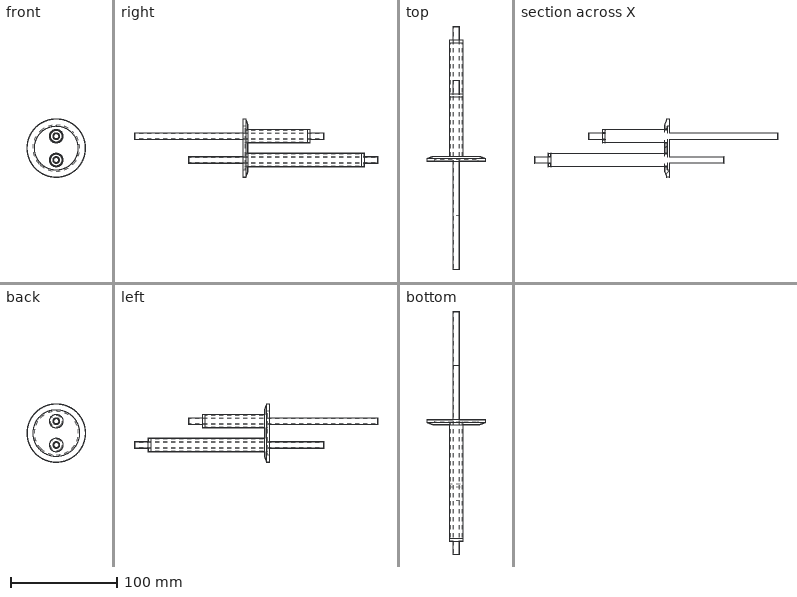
import cadquery as cq

flange_diameter = 55.0
rim_thickness = 2.7
flange_thickness = 4.8
flange_back_diameter = 44.0
recess_diameter = 41.1
recess_depth = 2.0

tube_diameter = 6.5
tube_bore = 4.8
tube_length = 177.9
tube_offset = 11.2

sleeve_diameter = 12.8
sleeve_bore = 11.0
cap_thickness = 2.7

upper_tube_rear = 76.1
upper_cap_rear = 63.3
lower_tube_rear = 126.9
lower_cap_rear = 114.3
assemblies = [
    (tube_offset, upper_tube_rear, upper_cap_rear),
    (-tube_offset, lower_tube_rear, lower_cap_rear),
]


def cylinder(diameter, y_start, y_end, z=0):
    """Solid cylinder along Y, centred on X = 0 at height z."""
    plane = cq.Workplane("XZ", origin=(0, y_start, z))
    return plane.circle(diameter / 2).extrude(y_start - y_end)


def ring(outer_diameter, inner_diameter, y_start, y_end, z):
    """Hollow cylinder along Y."""
    return cylinder(outer_diameter, y_start, y_end, z).cut(cylinder(inner_diameter, y_start, y_end, z))


def make_flange():
    """Disc with a tapered back, a round front recess and a seat hole for each sleeve."""
    half_section = [
        (0, 0),
        (flange_diameter / 2, 0),
        (flange_diameter / 2, rim_thickness),
        (flange_back_diameter / 2, flange_thickness),
        (0, flange_thickness),
    ]
    flange = cq.Workplane("XY").polyline(half_section).close().revolve(360, (0, 0), (0, 1))
    flange = flange.cut(cylinder(recess_diameter, 0, recess_depth))
    for z in (tube_offset, -tube_offset):
        flange = flange.cut(cylinder(sleeve_diameter, 0, flange_thickness, z))
    return flange


def make_sleeve(z, cap_rear):
    """Outer sleeve, from the recess floor to the front of its cap."""
    return ring(sleeve_diameter, sleeve_bore, recess_depth, cap_rear - cap_thickness, z)


def make_cap(z, cap_rear):
    """Disc that closes the rear of a sleeve around its tube."""
    return ring(sleeve_diameter, tube_diameter, cap_rear - cap_thickness, cap_rear, z)


def make_tube(z, tube_rear):
    """Long inner tube, open at both ends."""
    return ring(tube_diameter, tube_bore, tube_rear - tube_length, tube_rear, z)


bodies = [make_flange().val()]
for height, tube_rear_end, cap_rear_face in assemblies:
    bodies.append(make_sleeve(height, cap_rear_face).val())
    bodies.append(make_cap(height, cap_rear_face).val())
    bodies.append(make_tube(height, tube_rear_end).val())

result = cq.Compound.makeCompound(bodies)